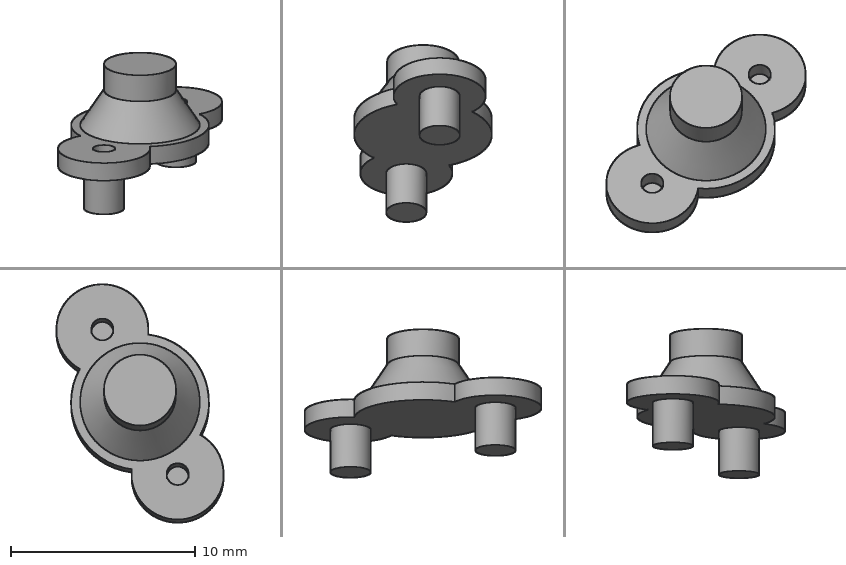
import cadquery as cq

CENTRE_DIAMETER = 7.5
EAR_DIAMETER = 5.0
OVERALL_LENGTH = 13.98
FLANGE_THICKNESS = 1.0
ear_offset = (OVERALL_LENGTH - EAR_DIAMETER) / 2
ear_centres = [(0, -ear_offset), (0, ear_offset)]

PEG_DIAMETER = 2.2
PEG_LENGTH = 2.4
BORE_DIAMETER = 1.2
BORE_DEPTH = FLANGE_THICKNESS

CONE_DIAMETER = 6.5
CAP_DIAMETER = 3.91
CONE_HEIGHT = 2.0
CAP_HEIGHT = 1.5


def make_flange():
    """Flat flange with its underside at Z = 0."""
    centre = cq.Workplane("XY").circle(CENTRE_DIAMETER / 2).extrude(FLANGE_THICKNESS)
    ears = cq.Workplane("XY").pushPoints(ear_centres).circle(EAR_DIAMETER / 2).extrude(FLANGE_THICKNESS)
    return centre.union(ears)


def make_pegs():
    """Round pegs that hang below the ears."""
    return cq.Workplane("XY").pushPoints(ear_centres).circle(PEG_DIAMETER / 2).extrude(-PEG_LENGTH)


def make_bores():
    """Cutters for the blind bores, from the top of the flange down to the pegs."""
    flange_top = cq.Workplane("XY").workplane(offset=FLANGE_THICKNESS)
    return flange_top.pushPoints(ear_centres).circle(BORE_DIAMETER / 2).extrude(-BORE_DEPTH)


def make_button():
    """Cone and cap, revolved about Z, standing on the flange."""
    cone_top = FLANGE_THICKNESS + CONE_HEIGHT
    cap_top = cone_top + CAP_HEIGHT
    profile = [
        (0, FLANGE_THICKNESS),
        (CONE_DIAMETER / 2, FLANGE_THICKNESS),
        (CAP_DIAMETER / 2, cone_top),
        (CAP_DIAMETER / 2, cap_top),
        (0, cap_top),
    ]
    return cq.Workplane("XZ").polyline(profile).close().revolve(360, (0, 0), (0, 1))


def make_key():
    """Flange, pegs and button as one solid, with a bore in each ear."""
    return make_flange().union(make_pegs()).union(make_button()).cut(make_bores())


key = make_key()

result = cq.Compound.makeCompound(key.solids().vals())